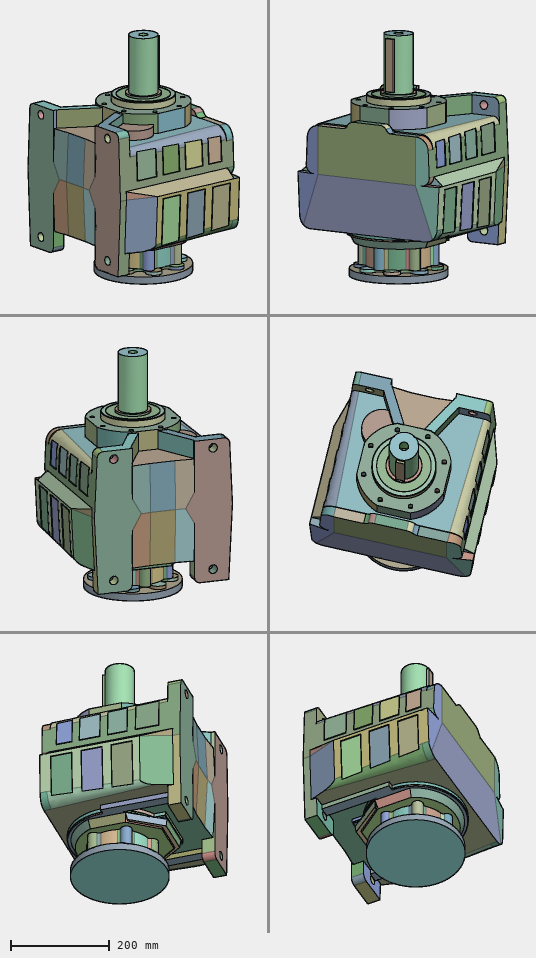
import cadquery as cq
import math

TOTAL_HEIGHT = 498.0
PARTING_Z = 214.0
BODY_TOP_Z = 316.5
BODY_BOTTOM_Z = 99.0
FRONT_Y = -180.5
BACK_Y = 119.5

WING_HALF_WIDTH = 170.0
WING_DRAFT = 0.05
WING_SHOULDER_Z = 232.0
BODY_BACK_Y = 98.5
BODY_FRONT_Y = -165.0
BACK_EDGE_RADIUS = 26.0
FRONT_TOP_EDGE_RADIUS = 14.0
FRONT_BOTTOM_EDGE_RADIUS = 7.5
WING_TAPER_Y = -100.5
WING_TAPER_END_X = 149.0
CUT_MARGIN = 5.0
OUTSIDE_X = WING_HALF_WIDTH + CUT_MARGIN

UPPER_RECESSES = [(85.0, 52.0), (36.0, -8.0), (-24.5, -66.0), (-84.0, -134.0)]
LOWER_RECESSES = [(89.5, 45.0), (24.5, -20.5), (-40.0, -84.5)]
RECESS_DEPTH = 2.0
UPPER_RECESS_FLOOR_Z = 248.0
LOWER_RECESS_ROOF_Z = 206.0

COVER_TOP_INSET = 2.5
COVER_TAPER_START_X = 117.0
COVER_TAPER_DEPTH = 6.5
COVER_DRAFT_DEPTH = 5.0
LUG_TOP_Z = 329.5
LUG_MID_Z = 323.0
LUG_TOP_HALF_WIDTH = 33.5
LUG_MID_HALF_WIDTH = 46.0
LUG_BASE_HALF_WIDTH = 56.0
LUG_ROUNDING = 1.5

PAD_TOP_Z = 355.5
PAD_BOTTOM_Z = 53.0
PAD_BACK_Y = -152.5
PAD_INNER_X = 67.0
PAD_TOP_X = 142.5
PAD_PARTING_X = 149.0
PAD_BOTTOM_X = 141.0
SIDE_DRAFT = (PAD_PARTING_X - PAD_TOP_X) / (PAD_TOP_Z - PARTING_Z)
PAD_CORNER_RADIUS = 12.5
PAD_HOLE_DIAMETER = 18.0
PAD_HOLE_X = 107.0
PAD_HOLE_ZS = (78.5, 337.0)

WEB_CORNERS = [(20.5, -89.5), (42.5, -87.5), (78.0, PAD_BACK_Y), (PAD_INNER_X, FRONT_Y), (PAD_INNER_X, -172.0)]

RELIEF_FLAT_HALF_WIDTH = 27.0
RELIEF_PARTING_HALF_WIDTH = 48.0
RELIEF_EDGE_END_Z = 248.0
RELIEF_SPREAD = (PAD_INNER_X - RELIEF_PARTING_HALF_WIDTH) / (RELIEF_EDGE_END_Z - PARTING_Z)
RELIEF_SLOPE = 0.083

EMBED_DEPTH = 5.0
BEARING_BASE_Z = BODY_TOP_Z - EMBED_DEPTH
BEARING_TOP_Z = 358.5
BEARING_HALF_WIDTH = 90.0
BEARING_CORNER_RADIUS = 96.5
BEARING_BOLT_CIRCLE_RADIUS = 82.5
BEARING_BOLT_DIAMETER = 9.0
BEARING_BOLT_DEPTH = 20.0
BOLT_COUNT = 8
SPIGOT_RADIUS = 65.0
SPIGOT_TOP_Z = 373.5
SPIGOT_CHAMFER = 1.0
SEAL_RADIUS = 55.5
SEAL_DEPTH = 1.0
COLLAR_RADIUS = 36.5
COLLAR_TOP_Z = 377.0
SHAFT_RADIUS = 30.0
SHAFT_HOLE_DIAMETER = 18.0
SHAFT_HOLE_DEPTH = 40.0
DRILL_POINT_ANGLE = 118.0
KEY_WIDTH = 18.0
KEY_TOP_Y = 34.5
KEY_BOTTOM_Z = 381.5
KEY_TOP_Z = 491.0
TOP_BOSS_CENTER = (64.0, -78.5)
TOP_BOSS_RADIUS = 41.5
TOP_BOSS_TOP_Z = 336.0

PLATE_RADIUS = 106.5
PLATE_BOTTOM_Z = 87.5
GASKET_TOP_Z = 91.0
GASKET_INSET = 1.0
PLATE_FRONT_Y = -117.0
PLATE_FRONT_HALF_WIDTH = 54.0
TIE_INNER_X = 97.0
TIE_OUTER_X = 119.5
TRAY_BOTTOM_Z = 69.5
TRAY_HALF_WIDTH = 94.5
TRAY_BACK_Y = 98.5
TRAY_SIDE_FLAT_YS = (35.0, -45.0)
TRAY_FRONT_Y = -112.0
TRAY_TAPER = 26.0
TRAY_BLOCK_HALF_WIDTH = 43.0
TRAY_BLOCK_BOTTOM_Z = 72.5
TRAY_BLOCK_FRONT_Y = -116.0
TRAY_BLOCK_TAPER = 8.0
NECK_RADIUS = 67.5
NECK_LOBE_COUNT = 6
NECK_LOBE_CIRCLE_RADIUS = 70.0
NECK_LOBE_RADIUS = 12.0
NECK_ROOT_FILLET = 7.5
RING_TOP_Z = 22.5
RING_LOBE_CIRCLE_RADIUS = 74.5
RING_LOBE_RADIUS = 17.0
RING_VALLEY_RADIUS = 12.0
FLANGE_RADIUS = 100.0
FLANGE_THICKNESS = 15.5


def block(x_range, y_range, z_range):
    """Box between two corners."""
    size = [abs(r[1] - r[0]) for r in (x_range, y_range, z_range)]
    low = [min(r) for r in (x_range, y_range, z_range)]
    return cq.Workplane("XY").box(*size, centered=False).translate(tuple(low))


def disc(radius, z_bottom, z_top, center=(0, 0)):
    """Upright cylinder."""
    return cq.Workplane("XY", origin=(*center, z_bottom)).circle(radius).extrude(z_top - z_bottom)


def drilled_hole(diameter, top_z, depth, center=(0, 0)):
    """Tool for a blind hole drilled downward, ending in a conical point."""
    radius = diameter / 2
    point_depth = radius / math.tan(math.radians(DRILL_POINT_ANGLE / 2))
    half_profile = [(0, 0), (radius, 0), (radius, -depth), (0, -depth - point_depth)]
    hole = cq.Workplane("XZ").polyline(half_profile).close().revolve(360, (0, 0), (0, 1))
    return hole.translate((*center, top_z))


def polar(radius, degrees):
    """Plan point at a radius and angle about the shaft axis."""
    angle = math.radians(degrees)
    return (radius * math.cos(angle), radius * math.sin(angle))


def upright_prism(points, z_bottom, z_top):
    """Plan outline raised between two heights."""
    return cq.Workplane("XY", origin=(0, 0, z_bottom)).polyline(points).close().extrude(z_top - z_bottom)


def both_sides(shape):
    """Shape together with its mirror image across the YZ plane."""
    return shape.union(shape.mirror("YZ"))


def upper_side_x(z):
    """Half width of the upper housing, flush with the drafted sides of the pads."""
    return PAD_PARTING_X - SIDE_DRAFT * (z - PARTING_Z)


def wing_side_x(z):
    """Half width of the lower housing across its wings."""
    return WING_HALF_WIDTH - WING_DRAFT * (PARTING_Z - z)


def housing_section(y, top_radius, bottom_radius, top_inset=0.0, undercut=False):
    """Symmetric cross-section of the housing at one Y, with rounded top and bottom edges.

    The shoulder above each wing is a straight slope, or a quarter round tucked under onto a flat ledge.
    """
    top_z = BODY_TOP_Z - top_inset
    top_x = upper_side_x(top_z)
    bottom_x = wing_side_x(BODY_BOTTOM_Z)
    shoulder = (upper_side_x(WING_SHOULDER_Z), WING_SHOULDER_Z)
    wing_tip = (WING_HALF_WIDTH, PARTING_Z)
    top_flat = (top_x - top_radius, top_z)
    top_side = (upper_side_x(top_z - top_radius), top_z - top_radius)
    bottom_side = (wing_side_x(BODY_BOTTOM_Z + bottom_radius), BODY_BOTTOM_Z + bottom_radius)
    bottom_flat = (bottom_x - bottom_radius, BODY_BOTTOM_Z)
    bulge = 1 - math.sqrt(0.5)
    top_mid = (top_x - bulge * top_radius, top_z - bulge * top_radius)
    bottom_mid = (bottom_x - bulge * bottom_radius, BODY_BOTTOM_Z + bulge * bottom_radius)

    half = cq.Workplane("XZ", origin=(0, y, 0)).moveTo(0, top_z).lineTo(*top_flat)
    half = half.threePointArc(top_mid, top_side).lineTo(*shoulder)
    if undercut:
        round_radius = WING_SHOULDER_Z - PARTING_Z
        round_mid = (shoulder[0] - bulge * round_radius, PARTING_Z + bulge * round_radius)
        half = half.threePointArc(round_mid, (shoulder[0] - round_radius, PARTING_Z))
    half = half.lineTo(*wing_tip).lineTo(*bottom_side)
    return half.threePointArc(bottom_mid, bottom_flat).lineTo(0, BODY_BOTTOM_Z).mirrorY()


def side_recess(y_range, z_range, side_x):
    """Thin drafted slab that sinks one recess into the +X side of the housing."""
    z_low, z_high = z_range
    outline = [
        (side_x(z_low) - RECESS_DEPTH, z_low),
        (OUTSIDE_X, z_low),
        (OUTSIDE_X, z_high),
        (side_x(z_high) - RECESS_DEPTH, z_high),
    ]
    back, front = y_range
    return cq.Workplane("XZ", origin=(0, back, 0)).polyline(outline).close().extrude(back - front)


def wing_taper_outline(z):
    """Plan of the material trimmed off the front end of the +X wing at one height."""
    beyond_front = BODY_FRONT_Y - CUT_MARGIN
    start_x = wing_side_x(z)
    end_x = start_x - (WING_HALF_WIDTH - WING_TAPER_END_X)
    return (
        cq.Workplane("XY", origin=(0, 0, z))
        .moveTo(start_x, WING_TAPER_Y)
        .lineTo(end_x, BODY_FRONT_Y)
        .lineTo(end_x, beyond_front)
        .lineTo(OUTSIDE_X, beyond_front)
        .lineTo(OUTSIDE_X, WING_TAPER_Y)
        .close()
    )


def make_housing():
    back = housing_section(BODY_BACK_Y, BACK_EDGE_RADIUS, BACK_EDGE_RADIUS).wires().val()
    front = housing_section(BODY_FRONT_Y, FRONT_TOP_EDGE_RADIUS, FRONT_BOTTOM_EDGE_RADIUS).wires().val()
    housing = cq.Workplane("XY").add(cq.Solid.makeLoft([back, front], True))

    above = wing_taper_outline(PARTING_Z).extrude(BODY_TOP_Z - PARTING_Z)
    taper_wires = [wing_taper_outline(z).wires().val() for z in (BODY_BOTTOM_Z, PARTING_Z)]
    below = cq.Workplane("XY").add(cq.Solid.makeLoft(taper_wires, True))
    housing = housing.cut(both_sides(above)).cut(both_sides(below))

    upper_recess_z = (UPPER_RECESS_FLOOR_Z, BODY_TOP_Z)
    for y_range in UPPER_RECESSES:
        housing = housing.cut(both_sides(side_recess(y_range, upper_recess_z, upper_side_x)))
    lower_recess_z = (BODY_BOTTOM_Z, LOWER_RECESS_ROOF_Z)
    for y_range in LOWER_RECESSES:
        housing = housing.cut(both_sides(side_recess(y_range, lower_recess_z, wing_side_x)))
    return housing


def make_back_cover():
    section = housing_section(
        BACK_Y, BACK_EDGE_RADIUS, BACK_EDGE_RADIUS, COVER_TOP_INSET, undercut=True
    )
    cover = section.extrude(BACK_Y - BODY_BACK_Y)

    corner = upright_prism(
        [
            (COVER_TAPER_START_X, BACK_Y),
            (WING_HALF_WIDTH, BACK_Y - COVER_TAPER_DEPTH),
            (OUTSIDE_X, BACK_Y - COVER_TAPER_DEPTH),
            (OUTSIDE_X, BACK_Y),
        ],
        0,
        BODY_TOP_Z,
    )
    draft = (
        cq.Workplane("YZ", origin=(-OUTSIDE_X, 0, 0))
        .polyline([(BACK_Y, PARTING_Z), (BACK_Y, BODY_BOTTOM_Z), (BACK_Y - COVER_DRAFT_DEPTH, BODY_BOTTOM_Z)])
        .close()
        .extrude(2 * OUTSIDE_X)
    )
    cover = cover.cut(both_sides(corner)).cut(draft)

    base_z = BODY_TOP_Z - COVER_TOP_INSET
    flank_x = (LUG_TOP_HALF_WIDTH + LUG_MID_HALF_WIDTH) / 2
    root_x = (LUG_MID_HALF_WIDTH + LUG_BASE_HALF_WIDTH) / 2
    flank_z = (LUG_TOP_Z + LUG_MID_Z) / 2 + LUG_ROUNDING
    root_z = (LUG_MID_Z + base_z) / 2 - LUG_ROUNDING
    lug = (
        cq.Workplane("XZ", origin=(0, BACK_Y, 0))
        .moveTo(-LUG_TOP_HALF_WIDTH, LUG_TOP_Z)
        .lineTo(LUG_TOP_HALF_WIDTH, LUG_TOP_Z)
        .threePointArc((flank_x, flank_z), (LUG_MID_HALF_WIDTH, LUG_MID_Z))
        .threePointArc((root_x, root_z), (LUG_BASE_HALF_WIDTH, base_z))
        .lineTo(LUG_BASE_HALF_WIDTH, PARTING_Z)
        .lineTo(-LUG_BASE_HALF_WIDTH, PARTING_Z)
        .lineTo(-LUG_BASE_HALF_WIDTH, base_z)
        .threePointArc((-root_x, root_z), (-LUG_MID_HALF_WIDTH, LUG_MID_Z))
        .threePointArc((-flank_x, flank_z), (-LUG_TOP_HALF_WIDTH, LUG_TOP_Z))
        .close()
        .extrude(BACK_Y - BODY_BACK_Y)
    )
    return cover.union(lug)


def front_relief(z_end):
    """Three-faced hollow that deepens from the parting plane to the given height."""
    height = abs(z_end - PARTING_Z)
    end_half_width = RELIEF_PARTING_HALF_WIDTH + RELIEF_SPREAD * height

    def outline(half_width):
        floor_y = FRONT_Y + RELIEF_SLOPE * (half_width - RELIEF_FLAT_HALF_WIDTH)
        return [
            (-half_width, FRONT_Y),
            (-RELIEF_FLAT_HALF_WIDTH, floor_y),
            (RELIEF_FLAT_HALF_WIDTH, floor_y),
            (half_width, FRONT_Y),
        ]

    return (
        cq.Workplane("XY", origin=(0, 0, PARTING_Z))
        .polyline(outline(RELIEF_PARTING_HALF_WIDTH))
        .close()
        .workplane(offset=z_end - PARTING_Z)
        .polyline(outline(end_half_width))
        .close()
        .loft(ruled=True)
    )


def make_front_wall():
    wall = block((-PAD_INNER_X, PAD_INNER_X), (FRONT_Y, PAD_BACK_Y), (BODY_BOTTOM_Z, BODY_TOP_Z))
    return wall.cut(front_relief(BODY_TOP_Z)).cut(front_relief(BODY_BOTTOM_Z))


def make_pads():
    """Mirrored pair of tall mounting pads, without their bolt holes."""
    pad = (
        cq.Workplane("XZ", origin=(0, PAD_BACK_Y, 0))
        .polyline(
            [
                (PAD_INNER_X, PAD_BOTTOM_Z),
                (PAD_BOTTOM_X, PAD_BOTTOM_Z),
                (PAD_PARTING_X, PARTING_Z),
                (PAD_TOP_X, PAD_TOP_Z),
                (PAD_INNER_X, PAD_TOP_Z),
            ]
        )
        .close()
        .extrude(PAD_BACK_Y - FRONT_Y)
    )
    pad = pad.edges("|Y").edges(">(1,0,3) or <(1,0,1)").fillet(PAD_CORNER_RADIUS)
    return both_sides(pad)


def make_pad_webs():
    """Slanting webs that tie the pads to the bearing housing."""
    web = upright_prism(WEB_CORNERS, BODY_TOP_Z, PAD_TOP_Z)
    return both_sides(web)


def make_bearing_housing():
    across = (-BEARING_HALF_WIDTH, BEARING_HALF_WIDTH)
    square = block(across, across, (BEARING_BASE_Z, BEARING_TOP_Z))
    bearing = square.intersect(disc(BEARING_CORNER_RADIUS, BEARING_BASE_Z, BEARING_TOP_Z))
    for index in range(BOLT_COUNT):
        center = polar(BEARING_BOLT_CIRCLE_RADIUS, (index + 0.5) * 360 / BOLT_COUNT)
        bearing = bearing.cut(drilled_hole(BEARING_BOLT_DIAMETER, BEARING_TOP_Z, BEARING_BOLT_DEPTH, center))
    spigot = disc(SPIGOT_RADIUS, BEARING_BASE_Z, SPIGOT_TOP_Z).faces(">Z").edges().chamfer(SPIGOT_CHAMFER)
    spigot = spigot.cut(disc(SEAL_RADIUS, SPIGOT_TOP_Z - SEAL_DEPTH, SPIGOT_TOP_Z))
    top_boss = disc(TOP_BOSS_RADIUS, BEARING_BASE_Z, TOP_BOSS_TOP_Z, TOP_BOSS_CENTER)
    return bearing.union(top_boss).union(spigot)


def make_shaft():
    shaft = disc(SHAFT_RADIUS, BODY_TOP_Z, TOTAL_HEIGHT).union(disc(COLLAR_RADIUS, BODY_TOP_Z, COLLAR_TOP_Z))
    key = block((-KEY_WIDTH / 2, KEY_WIDTH / 2), (0, KEY_TOP_Y), (KEY_BOTTOM_Z, KEY_TOP_Z))
    center_hole = drilled_hole(SHAFT_HOLE_DIAMETER, TOTAL_HEIGHT, SHAFT_HOLE_DEPTH)
    return shaft.union(key).cut(center_hole)


def make_tray():
    """Tapered tray: round at the back, flat at the sides and front."""
    side_back, side_front = TRAY_SIDE_FLAT_YS
    tray = (
        cq.Workplane("XY", origin=(0, 0, PLATE_BOTTOM_Z))
        .moveTo(-TRAY_HALF_WIDTH, side_back)
        .threePointArc((0, TRAY_BACK_Y), (TRAY_HALF_WIDTH, side_back))
        .lineTo(TRAY_HALF_WIDTH, side_front)
        .lineTo(TRAY_BLOCK_HALF_WIDTH, TRAY_FRONT_Y)
        .lineTo(-TRAY_BLOCK_HALF_WIDTH, TRAY_FRONT_Y)
        .lineTo(-TRAY_HALF_WIDTH, side_front)
        .close()
        .extrude(TRAY_BOTTOM_Z - PLATE_BOTTOM_Z, taper=TRAY_TAPER)
    )
    front_block = (
        cq.Workplane("XY", origin=(0, 0, PLATE_BOTTOM_Z))
        .moveTo(TRAY_HALF_WIDTH, side_front)
        .lineTo(TRAY_BLOCK_HALF_WIDTH, TRAY_BLOCK_FRONT_Y)
        .lineTo(-TRAY_BLOCK_HALF_WIDTH, TRAY_BLOCK_FRONT_Y)
        .lineTo(-TRAY_HALF_WIDTH, side_front)
        .close()
        .extrude(TRAY_BLOCK_BOTTOM_Z - PLATE_BOTTOM_Z, taper=TRAY_BLOCK_TAPER)
    )
    return tray.union(front_block)


def make_neck():
    """Round neck with full-height lobes blended at their roots."""
    lobes = (
        cq.Workplane("XY", origin=(0, 0, RING_TOP_Z))
        .polarArray(NECK_LOBE_CIRCLE_RADIUS, 90, 360, NECK_LOBE_COUNT)
        .circle(NECK_LOBE_RADIUS)
        .extrude(TRAY_BOTTOM_Z - RING_TOP_Z)
    )
    neck = disc(NECK_RADIUS, RING_TOP_Z, TRAY_BOTTOM_Z).union(lobes)
    return neck.edges("|Z").fillet(NECK_ROOT_FILLET)


def make_ring():
    """Wavy ring: round lobes alternate with hollow valleys tangent to them."""
    half_pitch = 180 / BOLT_COUNT
    lobe_x, lobe_y = polar(RING_LOBE_CIRCLE_RADIUS, half_pitch)
    center_gap = RING_LOBE_RADIUS + RING_VALLEY_RADIUS
    valley_x = lobe_x + math.sqrt(center_gap**2 - lobe_y**2)
    share = RING_VALLEY_RADIUS / center_gap
    tangent_x = valley_x + share * (lobe_x - valley_x)
    tangent_y = share * lobe_y
    tangent_radius = math.hypot(tangent_x, tangent_y)
    tangent_angle = math.degrees(math.atan2(tangent_y, tangent_x))
    valley_floor = valley_x - RING_VALLEY_RADIUS
    lobe_tip = RING_LOBE_CIRCLE_RADIUS + RING_LOBE_RADIUS

    ring = cq.Workplane("XY").moveTo(*polar(tangent_radius, -tangent_angle))
    for index in range(BOLT_COUNT):
        valley = index * 2 * half_pitch
        ring = ring.threePointArc(polar(valley_floor, valley), polar(tangent_radius, valley + tangent_angle))
        lobe = valley + half_pitch
        next_valley = lobe + half_pitch
        ring = ring.threePointArc(polar(lobe_tip, lobe), polar(tangent_radius, next_valley - tangent_angle))
    return ring.close().extrude(RING_TOP_Z)


def bottom_plate(z_bottom, z_top, inset=0.0):
    """Round plate squared off toward the pads."""
    half_width = PLATE_FRONT_HALF_WIDTH - inset
    front = block((-half_width, half_width), (PLATE_FRONT_Y + inset, 0), (z_bottom, z_top))
    return disc(PLATE_RADIUS - inset, z_bottom, z_top).union(front)


def make_underside():
    plate = bottom_plate(GASKET_TOP_Z, BODY_BOTTOM_Z)
    gasket = bottom_plate(PLATE_BOTTOM_Z, GASKET_TOP_Z, GASKET_INSET)
    ties = both_sides(block((TIE_INNER_X, TIE_OUTER_X), (PAD_BACK_Y, 0), (PLATE_BOTTOM_Z, BODY_BOTTOM_Z)))
    plate = plate.union(gasket).union(ties)
    flange = disc(FLANGE_RADIUS, 0, FLANGE_THICKNESS)
    return plate.union(make_tray()).union(make_neck()).union(make_ring()).union(flange)


pad_holes = (
    cq.Workplane("XZ", origin=(0, PAD_BACK_Y, 0))
    .pushPoints([(side * PAD_HOLE_X, z) for side in (-1, 1) for z in PAD_HOLE_ZS])
    .circle(PAD_HOLE_DIAMETER / 2)
    .extrude(PAD_BACK_Y - FRONT_Y)
)

result = (
    make_housing()
    .union(make_back_cover())
    .union(make_front_wall())
    .union(make_pads())
    .union(make_pad_webs())
    .union(make_bearing_housing())
    .union(make_shaft())
    .union(make_underside())
    .cut(pad_holes)
)